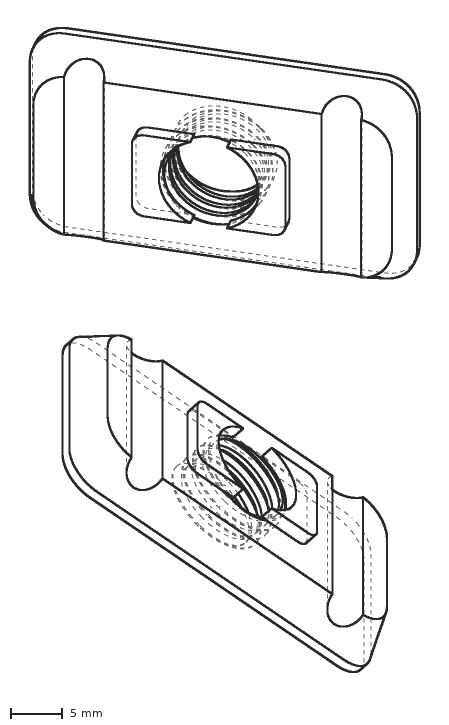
import cadquery as cq

length = 38.9
height = 22.85
plate_depth = 5.0
lip_depth = 1.0
end_inset = 1.45
side_inset = 2.35
corner_radius = 4.05

groove_radius = 2.0
groove_spacing = 25.88

total_depth = 6.5
pad_length = 15.4
pad_height = 9.3
pad_corner_radius = 1.2
pad_bore_diameter = 10.0

minor_diameter = 9.25
major_diameter = 10.7
pitch = 1.5
root_width = 0.15
mouth_width = 0.97
core_overlap = 0.2

front_y = -plate_depth


def make_plate():
    """Sloping body with rounded corner edges, standing on a lip of the same outline."""
    slope = (
        cq.Workplane("XZ", origin=(0, -lip_depth, 0))
        .rect(length, height)
        .workplane(offset=plate_depth - lip_depth)
        .rect(length - 2 * end_inset, height - 2 * side_inset)
        .loft(ruled=True)
    )
    corners = slope.edges("not(#Y)").edges("not(|X or |Z)")
    slope = corners.fillet(corner_radius)
    lip = slope.faces(">Y").wires().toPending().workplane().extrude(lip_depth, combine=False)
    return slope.union(lip)


def make_grooves():
    """Two cylinders centred on the front face."""
    return (
        cq.Workplane("XY", origin=(0, front_y, -height / 2))
        .pushPoints([(-groove_spacing / 2, 0), (groove_spacing / 2, 0)])
        .circle(groove_radius)
        .extrude(height)
    )


def make_thread_groove():
    """Helical trapezoid groove whose root meets the front face at the bottom of the hole."""
    inner_radius = minor_diameter / 2 - core_overlap
    outer_radius = major_diameter / 2
    thread_length = plate_depth + 2 * pitch
    helix = cq.Wire.makeHelix(pitch, thread_length, inner_radius)
    flank_slope = (mouth_width - root_width) / (major_diameter - minor_diameter)
    half_mouth = mouth_width / 2 + core_overlap * flank_slope
    half_root = root_width / 2
    groove = (
        cq.Workplane("XZ")
        .polyline(
            [
                (inner_radius, -half_mouth),
                (outer_radius, -half_root),
                (outer_radius, half_root),
                (inner_radius, half_mouth),
            ]
        )
        .close()
        .sweep(cq.Workplane(obj=helix), isFrenet=True)
    )
    groove = groove.rotate((0, 0, 0), (1, 0, 0), -90).rotate((0, 0, 0), (0, 1, 0), 90)
    return groove.translate((0, front_y - pitch, 0))


def make_pad():
    """Rounded pad whose bore breaks through its long edges, leaving two lugs."""
    return (
        cq.Workplane("XZ", origin=(0, front_y, 0))
        .rect(pad_length, pad_height)
        .extrude(total_depth - plate_depth)
        .edges("|Y")
        .fillet(pad_corner_radius)
        .faces("<Y")
        .workplane()
        .hole(pad_bore_diameter)
    )


def make_threaded_hole():
    """Core of the hole joined with its thread groove, reaching past both plate faces."""
    core = (
        cq.Workplane("XZ", origin=(0, 2 * pitch, 0))
        .circle(minor_diameter / 2)
        .extrude(plate_depth + 4 * pitch)
    )
    return core.union(make_thread_groove())


plate = make_plate().cut(make_grooves()).cut(make_threaded_hole())
result = plate.union(make_pad())